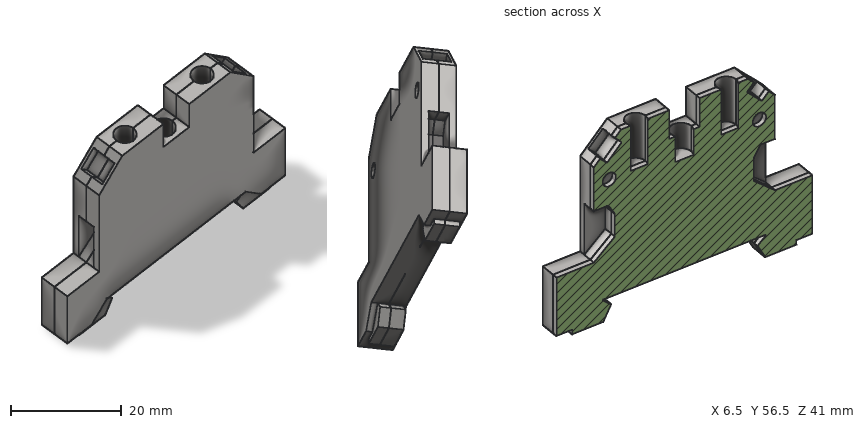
import cadquery as cq

thickness = 6.5
half_length = 28.25
shelf_height = 13.0
shoulder_half_width = 20.0
housing_height = 40.0
shoulder_chamfer = 6.0
notch_half_width = 3.35
notch_depth = 6.3
rail_height = 3.9
rail_half_width = 18.0
rail_mouth_half_width = 22.0

foot_drop = 1.0
foot_outer_y = 24.75
foot_inner_y = 17.85
foot_tip_y = 16.1
foot_tip_height = 2.2
foot_left_inset = 1.2
foot_right_inset = 0.5

terminal_hole_diameter = 4.25
terminal_hole_y = 10.0
terminal_hole_depth = 10.0
center_hole_diameter = 4.5
center_hole_depth = 5.65

pin_hole_diameter = 2.8
pin_hole_y = 16.55
pin_hole_drop = 10.05

wire_pocket_width = 5.3
wire_pocket_length = 4.5
wire_pocket_depth = 2.15

window_width = 3.85
window_height = 11.25
window_depth = 4.65
window_ramp_height = 3.9
window_crown_height = 2.4
window_crown_run = 1.45
window_crown_bulge = 0.03

seam_gap = 0.05
web_half_width = 5.65

notch_floor = housing_height - notch_depth
web_top = notch_floor - center_hole_depth
chamfer_start_y = shoulder_half_width - shoulder_chamfer
chamfer_start_z = housing_height - shoulder_chamfer


def slab(outline, x_min, x_max):
    """Extrude a closed YZ wire sketch from x_min to x_max."""
    return outline.close().extrude(x_max - x_min).translate((x_min, 0, 0))


def on_both_ends(solid):
    """Join a +Y feature with its mirror image at the -Y end."""
    return solid.union(solid.mirror("XZ"))


def make_housing():
    right_side = [
        (notch_half_width, notch_floor),
        (notch_half_width, housing_height),
        (chamfer_start_y, housing_height),
        (shoulder_half_width, chamfer_start_z),
        (shoulder_half_width, shelf_height),
        (half_length, shelf_height),
        (half_length, 0),
        (rail_mouth_half_width, 0),
        (rail_half_width, rail_height),
    ]
    left_side = [(-y, z) for y, z in reversed(right_side)]
    outline = cq.Workplane("YZ").polyline(right_side + left_side)
    return slab(outline, -thickness / 2, thickness / 2)


def make_feet():
    outline = cq.Workplane("YZ").polyline([
        (foot_outer_y, -foot_drop),
        (foot_inner_y, -foot_drop),
        (foot_tip_y, foot_tip_height),
        (rail_half_width, rail_height),
        (foot_outer_y, rail_height),
    ])
    foot = slab(outline, foot_left_inset - thickness / 2, thickness / 2 - foot_right_inset)
    return on_both_ends(foot)


def make_vertical_hole(y, top, diameter, depth):
    return cq.Workplane("XY", origin=(0, y, top - depth)).circle(diameter / 2).extrude(depth)


def make_pin_holes():
    """Holes from the -X side down to the seam plane."""
    center_z = housing_height - pin_hole_drop
    hole = cq.Workplane("YZ", origin=(-thickness / 2, pin_hole_y, center_z))
    return on_both_ends(hole.circle(pin_hole_diameter / 2).extrude(thickness / 2))


def make_wire_pockets():
    middle = (
        0,
        shoulder_half_width - shoulder_chamfer / 2,
        housing_height - shoulder_chamfer / 2,
    )
    chamfer_plane = cq.Plane(origin=middle, xDir=(1, 0, 0), normal=(0, 1, 1))
    pocket = cq.Workplane(chamfer_plane).rect(wire_pocket_width, wire_pocket_length)
    return on_both_ends(pocket.extrude(-wire_pocket_depth))


def make_windows():
    """Windows with a ramped floor and a back wall that curves forward at its top."""
    back_y = shoulder_half_width - window_depth
    top_z = shelf_height + window_height
    crown_z = top_z - window_crown_height
    crown_y = back_y + window_crown_run
    crown_middle = (
        (back_y + crown_y) / 2 - window_crown_bulge,
        (crown_z + top_z) / 2 + window_crown_bulge,
    )
    outline = (
        cq.Workplane("YZ")
        .moveTo(shoulder_half_width, shelf_height)
        .lineTo(back_y, shelf_height + window_ramp_height)
        .lineTo(back_y, crown_z)
        .threePointArc(crown_middle, (crown_y, top_z))
        .lineTo(shoulder_half_width, top_z)
    )
    return on_both_ends(slab(outline, -window_width / 2, window_width / 2))


def make_seam():
    """Thin gap on the middle plane, open everywhere except at the central web."""
    gap_height = housing_height + foot_drop
    gap = cq.Workplane("XY", origin=(0, 0, -foot_drop)).box(
        seam_gap, 2 * half_length, gap_height, centered=(True, True, False)
    )
    web = cq.Workplane("XY", origin=(0, 0, rail_height)).box(
        seam_gap, 2 * web_half_width, web_top - rail_height, centered=(True, True, False)
    )
    return gap.cut(web)


result = make_housing().union(make_feet())
for hole_y in (-terminal_hole_y, terminal_hole_y):
    result = result.cut(
        make_vertical_hole(hole_y, housing_height, terminal_hole_diameter, terminal_hole_depth)
    )
result = result.cut(make_vertical_hole(0, notch_floor, center_hole_diameter, center_hole_depth))
result = result.cut(make_pin_holes())
result = result.cut(make_wire_pockets())
result = result.cut(make_windows())
result = result.cut(make_seam())